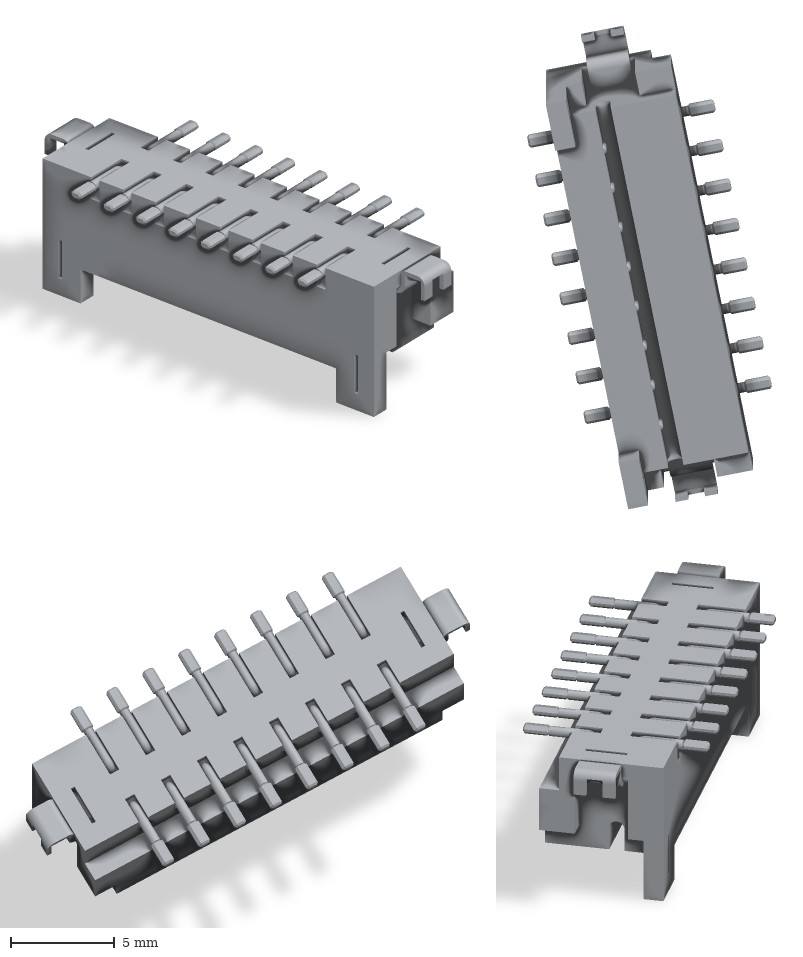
import cadquery as cq
import math

overall_length = 23.5
overall_depth = 9.2
body_length = 20.5
body_height = 5.3
body_half_depth = 3.08
half_length = body_length / 2

step_y = 2.1
step_z = -1.79
leg_bottom = -7.2
leg_length = 2.35
leg_back_y = -2.1
end_recess_depth = 1.2
end_recess_half_width = 1.32
end_recess_top = -0.85
lip_chamfer_height = 0.15
lip_chamfer_depth = 0.07
base_top = -4.05
board_slot_y = -0.5
board_slot_width = 0.75
board_slot_top = -3.75
slit_width = 0.2
leg_slit_top = -4.14
leg_slit_height = 2.12

pins_per_row = 8
pitch = 2.0
pin_diameter = 0.5
pin_axis_z = -0.3
pin_bottom = -5.15
pin_end_chamfer = 0.1
pin_bend_radius = 0.47
pin_inner_y = 0.73
pin_tail_y = 3.31
tail_width = 0.63
tail_height = 0.42
tail_axis_z = -0.28
tail_side_chamfer = 0.15
tail_end_chamfer = 0.1
pocket_width = 0.52
pocket_floor_outer = -1.2
pocket_floor_inner = -0.35

clip_width = 2.07
clip_thickness = 0.24
clip_top = 0.07
clip_bend_radius = 0.45
clip_lower_radius = 0.52
clip_inner_radius = 0.35
clip_outer_x = overall_length / 2
clip_inner_leg_x = 10.55
clip_prong_bottom = -1.15
clip_shelf_bottom = -1.27
clip_tab_top = -0.35
clip_tab_chamfer = 0.42
prong_gap = 0.82
prong_gap_top = -0.25

recess_back_x = half_length - end_recess_depth
slit_x = recess_back_x + slit_width / 2
pin_leg_y = pin_inner_y + pin_diameter / 2
tail_end_y = overall_depth / 2
bend_start_y = pin_leg_y + pin_bend_radius


def box(x_range, y_range, z_range):
    """Axis-aligned block between pairs of limits."""
    size = [b - a for a, b in (x_range, y_range, z_range)]
    corner = (x_range[0], y_range[0], z_range[0])
    return cq.Workplane("XY").box(*size, centered=False).translate(corner)


def both_ends(shape):
    """The +X shape together with its mirror image at -X."""
    return shape.union(shape.mirror("YZ"))


def both_rows(shape):
    """The +Y shape together with its mirror image at -Y."""
    return shape.union(shape.mirror("XZ"))


def make_housing():
    """Stepped block with two front legs."""
    full_x = (-half_length, half_length)
    housing = box(full_x, (-body_half_depth, body_half_depth), (-body_height, 0))
    housing = housing.cut(box(full_x, (step_y, body_half_depth), (step_z, 0)))
    leg = box(
        (half_length - leg_length, half_length),
        (-body_half_depth, leg_back_y),
        (leg_bottom, -body_height),
    )
    return housing.union(both_ends(leg))


def make_end_cuts():
    """Recess, clip slit and leg slit at the +X end."""
    depth_x = (recess_back_x, half_length)
    slit = (slit_x - slit_width / 2, slit_x + slit_width / 2)
    ceiling = end_recess_top - lip_chamfer_height
    recess = (
        cq.Workplane("XZ", origin=(0, end_recess_half_width, 0))
        .moveTo(recess_back_x, -body_height)
        .lineTo(recess_back_x, ceiling)
        .lineTo(half_length - lip_chamfer_depth, ceiling)
        .lineTo(half_length, end_recess_top)
        .lineTo(half_length, -body_height)
        .close()
        .extrude(2 * end_recess_half_width)
    )
    base_cut = box(depth_x, (leg_back_y, body_half_depth), (-body_height, base_top))
    clip_slit = box(slit, (-clip_width / 2, clip_width / 2), (ceiling, 0))
    leg_slit = box(
        slit,
        (-body_half_depth, leg_back_y),
        (leg_slit_top - leg_slit_height, leg_slit_top),
    )
    return recess.union(base_cut).union(clip_slit).union(leg_slit)


def make_board_slot():
    """Round-topped slot running along the whole length of the base."""
    radius = board_slot_width / 2
    spring_z = board_slot_top - radius
    return (
        cq.Workplane("YZ", origin=(-half_length, 0, 0))
        .moveTo(board_slot_y - radius, -body_height)
        .lineTo(board_slot_y - radius, spring_z)
        .threePointArc((board_slot_y, board_slot_top), (board_slot_y + radius, spring_z))
        .lineTo(board_slot_y + radius, -body_height)
        .close()
        .extrude(body_length)
    )


def make_pin():
    """Bent round contact of the +Y row with its faceted solder tail, at x = 0."""
    bend_z = pin_axis_z - pin_bend_radius
    bend_middle = pin_bend_radius * math.sqrt(0.5)
    path = (
        cq.Workplane("YZ")
        .moveTo(pin_tail_y, pin_axis_z)
        .lineTo(bend_start_y, pin_axis_z)
        .threePointArc(
            (bend_start_y - bend_middle, bend_z + bend_middle), (pin_leg_y, bend_z)
        )
        .lineTo(pin_leg_y, pin_bottom)
    )
    wire = (
        cq.Workplane("XZ", origin=(0, pin_tail_y, pin_axis_z))
        .circle(pin_diameter / 2)
        .sweep(path)
        .faces("<Z")
        .chamfer(pin_end_chamfer)
    )
    tail = (
        cq.Workplane("XZ", origin=(0, tail_end_y, tail_axis_z))
        .rect(tail_width, tail_height)
        .extrude(tail_end_y - pin_tail_y)
        .edges("|Y")
        .chamfer(tail_side_chamfer)
        .faces("<Y or >Y")
        .chamfer(tail_end_chamfer)
    )
    return wire.union(tail)


def make_pocket():
    """Open-ended, ramp-floored clearance around a contact of the +Y row, at x = 0."""
    return (
        cq.Workplane("YZ", origin=(-pocket_width / 2, 0, 0))
        .moveTo(pin_inner_y, 0)
        .lineTo(pin_inner_y, pocket_floor_inner)
        .lineTo(body_half_depth, pocket_floor_outer)
        .lineTo(body_half_depth, 0)
        .close()
        .extrude(pocket_width)
    )


def make_clip():
    """Folded strip at the +X end: pronged hook, inner leg, shelf and tab in the slit."""
    prong_inner_x = clip_outer_x - clip_thickness
    under_top = clip_top - clip_thickness
    shelf_top = clip_shelf_bottom + clip_thickness
    half_width = clip_width / 2

    strip = (
        cq.Workplane("XZ", origin=(0, half_width, 0))
        .moveTo(slit_x - slit_width / 2, clip_shelf_bottom)
        .lineTo(clip_inner_leg_x - clip_lower_radius, clip_shelf_bottom)
        .radiusArc(
            (clip_inner_leg_x, clip_shelf_bottom + clip_lower_radius), -clip_lower_radius
        )
        .lineTo(clip_inner_leg_x, under_top)
        .lineTo(prong_inner_x, under_top)
        .lineTo(prong_inner_x, clip_prong_bottom)
        .lineTo(clip_outer_x, clip_prong_bottom)
        .lineTo(clip_outer_x, clip_top - clip_bend_radius)
        .radiusArc((clip_outer_x - clip_bend_radius, clip_top), -clip_bend_radius)
        .lineTo(half_length + clip_inner_radius, clip_top)
        .radiusArc((half_length, clip_top - clip_inner_radius), -clip_inner_radius)
        .lineTo(half_length, end_recess_top)
        .lineTo(half_length - lip_chamfer_depth, shelf_top)
        .lineTo(slit_x - slit_width / 2, shelf_top)
        .close()
        .extrude(clip_width)
    )
    gap = box(
        (prong_inner_x, clip_outer_x),
        (-prong_gap / 2, prong_gap / 2),
        (clip_prong_bottom, prong_gap_top),
    )
    tab = (
        box(
            (slit_x - slit_width / 2, slit_x + slit_width / 2),
            (-half_width, half_width),
            (clip_shelf_bottom, clip_tab_top),
        )
        .edges("|X and >Z")
        .chamfer(clip_tab_chamfer)
    )
    return strip.cut(gap).union(tab)


housing = make_housing().cut(both_ends(make_end_cuts())).cut(make_board_slot())

row_start = -pitch * (pins_per_row - 1) / 2
pin_places = [(row_start + pitch * i, 0, 0) for i in range(pins_per_row)]
pin = both_rows(make_pin())
pocket = both_rows(make_pocket())

for place in pin_places:
    housing = housing.cut(pocket.translate(place))

result = housing.union(both_ends(make_clip()))
for place in pin_places:
    result = result.union(pin.translate(place))